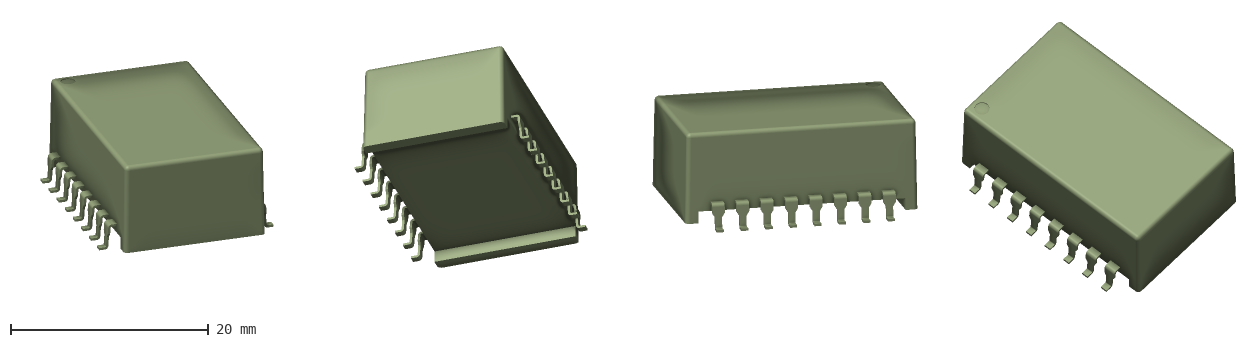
import cadquery as cq
import math

total_height = 10.0
case_length = 24.15
case_width = 15.1
case_bottom = 0.58
case_height = total_height - case_bottom
draft_angle = 1.0
edge_radius = 0.45
end_wall = 1.3
relief_top = 1.82

mark_diameter = 1.5
mark_depth = 0.1
mark_x = -10.55
mark_y = -5.95

lead_count = 8
lead_pitch = 2.54
lead_span = 18.6
lead_thickness = 0.25
lead_top = 2.8
lead_slope = 4.0
shoulder_width = 1.3
foot_width = 0.72
taper_top = 1.8
taper_bottom = 1.35
shoulder_reach = 8.41
inner_bend = 0.12
outer_bend = inner_bend + lead_thickness
lead_embed = 0.5


def make_case():
    block = (
        cq.Workplane("XY")
        .workplane(offset=case_bottom)
        .rect(case_length, case_width)
        .extrude(case_height, taper=draft_angle)
    )
    side_and_top_edges = block.edges("not <Z")
    case = side_and_top_edges.fillet(edge_radius)

    relief_height = relief_top - case_bottom
    relief = (
        cq.Workplane("XY")
        .workplane(offset=case_bottom)
        .rect(case_length - 2 * end_wall, case_width)
        .extrude(relief_height)
    )
    mark = (
        cq.Workplane("XY")
        .workplane(offset=total_height - mark_depth)
        .center(mark_x, mark_y)
        .circle(mark_diameter / 2)
        .extrude(mark_depth)
    )
    return case.cut(relief).cut(mark)


def make_lead():
    """One lead on the +Y side, centred on X = 0."""
    slope = math.radians(lead_slope)
    leg_thickness = lead_thickness / math.cos(slope)

    def leg_outer_y(z):
        return shoulder_reach + (lead_top - z) * math.tan(slope)

    def leg_inner_y(z):
        return leg_outer_y(z) - leg_thickness

    root_y = case_width / 2 - lead_embed
    toe_y = lead_span / 2
    shoulder_under = lead_top - lead_thickness

    shoulder_outer = (leg_outer_y(lead_top), lead_top)
    shoulder_inner = (leg_inner_y(shoulder_under), shoulder_under)
    heel_inner = (leg_outer_y(lead_thickness), lead_thickness)
    heel_outer = (leg_inner_y(0), 0)

    strip = (
        cq.Workplane("YZ")
        .polyline([
            (root_y, lead_top),
            shoulder_outer,
            heel_inner,
            (toe_y, lead_thickness),
            (toe_y, 0),
            heel_outer,
            shoulder_inner,
            (root_y, shoulder_under),
        ])
        .close()
        .extrude(shoulder_width / 2, both=True)
    )
    bends = [
        (shoulder_outer, outer_bend),
        (shoulder_inner, inner_bend),
        (heel_outer, outer_bend),
        (heel_inner, inner_bend),
    ]
    for (y, z), radius in bends:
        corner = cq.selectors.NearestToPointSelector((0, y, z))
        strip = strip.edges("|X").edges(corner).fillet(radius)

    half_shoulder = shoulder_width / 2
    half_foot = foot_width / 2
    outline = (
        cq.Workplane("XZ")
        .polyline([
            (-half_shoulder, lead_top),
            (half_shoulder, lead_top),
            (half_shoulder, taper_top),
            (half_foot, taper_bottom),
            (half_foot, 0),
            (-half_foot, 0),
            (-half_foot, taper_bottom),
            (-half_shoulder, taper_top),
        ])
        .close()
        .extrude(-lead_span / 2)
    )
    return strip.intersect(outline)


def add_leads(case):
    lead = make_lead()
    opposite_lead = lead.mirror("XZ")
    first_x = -(lead_count - 1) * lead_pitch / 2
    for index in range(lead_count):
        position = (first_x + index * lead_pitch, 0, 0)
        case = case.union(lead.translate(position))
        case = case.union(opposite_lead.translate(position))
    return case


result = add_leads(make_case())